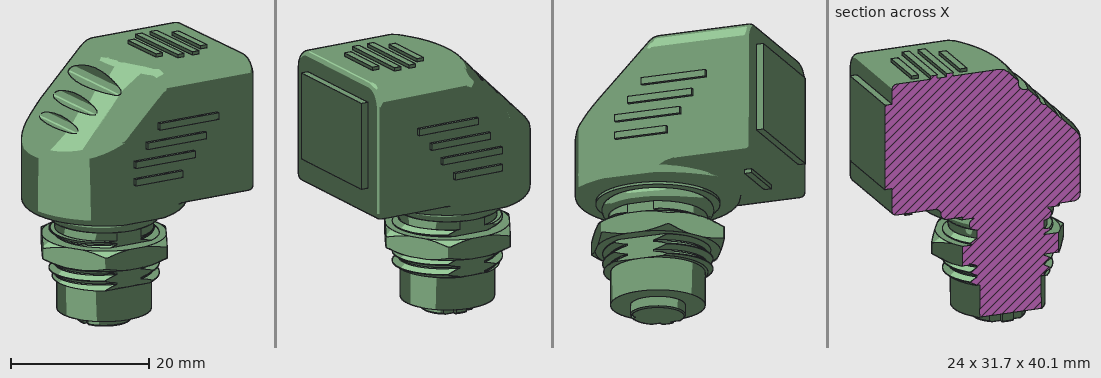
import cadquery as cq
import math


half_width = 11.5
nose_radius = 12.0
back_y = 18.6
top_z = 22.1
underside_z = 1.8
foot_blend_radius = 0.75
top_edge_radius = 3.0
back_edge_radius = 0.73
bottom_edge_radius = 1.0
nose_blend_radius = 2.0

slope_radius = 22.0
slope_crest_z = 21.9
slope_edge_radius = 2.0

grip_corners = [(-1.27, 18.4), (-4.6, 15.6), (-7.4, 13.06)]
grip_corner_radius = 1.0

rib_rise = 0.5
rib_width = 1.1
long_rib = 11.6
short_rib = 7.75
top_ribs = [(14.55, short_rib), (12.0, long_rib), (9.5, long_rib), (7.0, short_rib)]
side_rib_height = 1.0
side_ribs = [(14.4, 2.08, 12.1), (11.8, 0.0, 10.0), (9.25, -2.0, 8.1), (6.6, -2.0, 6.0)]
bottom_rib_y = 15.58
bottom_rib_drop = 0.6

plate_half_width = 8.3
plate_bottom_z = 6.0
plate_top_z = top_z - top_edge_radius
plate_thickness = 1.1

flange_radius = 9.0
flange_bottom_z = -0.4
ring_section_radius = 1.0
ring_bottom_z = -2.3
ring_outer_radius = 8.1
barrel_radius = 6.87
neck_radius = 7.17
neck_bottom_z = -3.55
thread_bottom_z = -10.85
barrel_bottom_z = -15.85

pitch = 1.5
thread_radius = 8.0
thread_crest_half = 0.05
thread_root_half = 0.48 * pitch
thread_sink = 0.1
thread_run_in = 2
thread_turns = 7
thread_crest_z = -9.6

nut_across_flats = 18.0
nut_top_z = -4.45
nut_height = 3.1
nut_corner_radius = 0.65
nut_chamfer_angle = 30.0
nut_face_radius = 9.1

insert_radius = 4.0
insert_bottom_z = -17.5
insert_flat_x = -3.1
insert_key_half_width = 0.85
insert_slot_x = (0.54, 1.5)
insert_slot_depth = 0.7
insert_chamfer = 0.2


def block(x0, x1, y0, y1, z0, z1):
    return cq.Workplane("XY").box(x1 - x0, y1 - y0, z1 - z0, centered=False).translate((x0, y0, z0))


def cylinder(radius, z0, z1):
    return cq.Workplane("XY").workplane(offset=z0).circle(radius).extrude(z1 - z0)


def make_plan(z0, z1):
    """Plan outline of the housing: straight sides closed by a round nose."""
    nose_y = -math.sqrt(nose_radius**2 - half_width**2)
    outline = (
        cq.Workplane("XY")
        .workplane(offset=z0)
        .moveTo(-half_width, back_y)
        .lineTo(-half_width, nose_y)
        .threePointArc((0, -nose_radius), (half_width, nose_y))
        .lineTo(half_width, back_y)
        .close()
    )
    return outline.extrude(z1 - z0).edges("|Z and (not >Y)").fillet(nose_blend_radius)


def make_slope():
    """Cylinder, parallel to the 45 degree slope, that bounds the sloping front face."""
    axis_z = slope_crest_z - slope_radius * math.sqrt(2)
    plane = cq.Plane(origin=(0, 0, axis_z), xDir=(1, 0, 0), normal=(0, 1, 1))
    return cq.Workplane(plane).circle(slope_radius).extrude(4 * slope_radius, both=True)


def make_housing():
    body = make_plan(0, top_z)
    body = body.edges("|Y and >Z").fillet(top_edge_radius)

    step = block(-half_width, half_width, 0, back_y, 0, underside_z)
    body = body.cut(step.cut(cylinder(nose_radius, 0, underside_z)))
    body = body.edges(cq.NearestToPointSelector((0, nose_radius, underside_z))).fillet(foot_blend_radius)
    for side_x in (-half_width, half_width):
        lower_edge = cq.NearestToPointSelector((side_x, back_y - bottom_edge_radius, underside_z))
        body = body.edges("|Y").edges(lower_edge).fillet(bottom_edge_radius)
    body = body.faces("<Z").edges().fillet(bottom_edge_radius)

    body = body.intersect(make_slope())
    slope_face = cq.NearestToPointSelector((0, grip_corners[1][0], slope_crest_z + grip_corners[1][0]))
    body = body.faces(slope_face).edges().fillet(slope_edge_radius)
    return body.faces(">Y").edges().fillet(back_edge_radius)


def cut_grip(body, wall_y, floor_z):
    reach = 2 * nose_radius
    notch = block(-reach, reach, wall_y - reach, wall_y, floor_z, floor_z + reach)
    notch = notch.edges("|X and >Y and <Z").fillet(grip_corner_radius)
    return body.cut(notch)


def make_ribs():
    """Raised ribs on the top, both sides and the underside."""
    half_rib = rib_width / 2
    overlap = rib_rise
    ribs = cq.Workplane("XY")
    for y, length in top_ribs:
        ribs = ribs.add(
            block(-length / 2, length / 2, y - half_rib, y + half_rib, top_z - overlap, top_z + rib_rise)
        )
    for z, y0, y1 in side_ribs:
        z0 = z - side_rib_height / 2
        for inner_x in (-half_width - rib_rise, half_width - overlap):
            ribs = ribs.add(
                block(inner_x, inner_x + overlap + rib_rise, y0, y1, z0, z0 + side_rib_height)
            )
    ribs = ribs.add(
        block(
            -short_rib / 2,
            short_rib / 2,
            bottom_rib_y - half_rib,
            bottom_rib_y + half_rib,
            underside_z - bottom_rib_drop,
            underside_z + overlap,
        )
    )
    return ribs


def make_back_plate():
    return block(
        -plate_half_width, plate_half_width, back_y, back_y + plate_thickness, plate_bottom_z, plate_top_z
    )


def make_thread():
    """One right-handed V ridge, cut off at both ends and at the flats on +X and -X."""
    start_z = thread_crest_z + pitch / 4 - thread_run_in * pitch
    root_radius = neck_radius - thread_sink
    helix = cq.Wire.makeHelix(pitch, thread_turns * pitch, root_radius).translate(cq.Vector(0, 0, start_z))
    profile = (
        cq.Workplane("XZ", origin=(0, 0, start_z))
        .moveTo(root_radius, -thread_root_half)
        .lineTo(thread_radius, -thread_crest_half)
        .lineTo(thread_radius, thread_crest_half)
        .lineTo(root_radius, thread_root_half)
        .close()
    )
    ridge = profile.sweep(cq.Workplane(helix), isFrenet=True)
    limits = block(
        -barrel_radius, barrel_radius, -nose_radius, nose_radius, thread_bottom_z, neck_bottom_z
    )
    return ridge.intersect(limits)


def make_stem():
    flats = block(-barrel_radius, barrel_radius, -nose_radius, nose_radius, thread_bottom_z, 0)
    core = cylinder(neck_radius, thread_bottom_z, 0).intersect(flats)
    core = core.union(make_thread())
    core = core.union(cylinder(barrel_radius, barrel_bottom_z, thread_bottom_z))
    core = core.union(cylinder(flange_radius, flange_bottom_z, 0))
    ring_centre = (ring_outer_radius - ring_section_radius, ring_bottom_z + ring_section_radius)
    ring = cq.Workplane("XZ").center(*ring_centre).circle(ring_section_radius)
    ring = ring.revolve(360, (-ring_centre[0], 0, 0), (-ring_centre[0], 1, 0))
    return core.union(ring)


def make_nut():
    """Hexagon nut with corners towards +Y and -Y and turned ends."""
    corner_radius = nut_across_flats / 2 / math.cos(math.pi / 6)
    bottom_z = nut_top_z - nut_height
    hexagon = cq.Workplane("XY").workplane(offset=bottom_z).polygon(6, 2 * corner_radius).extrude(nut_height)
    hexagon = hexagon.rotate((0, 0, 0), (0, 0, 1), 30).edges("|Z").fillet(nut_corner_radius)
    drop = (corner_radius - nut_face_radius) * math.tan(math.radians(nut_chamfer_angle))
    turned = (
        cq.Workplane("XZ")
        .moveTo(0, bottom_z)
        .lineTo(nut_face_radius, bottom_z)
        .lineTo(corner_radius, bottom_z + drop)
        .lineTo(corner_radius, nut_top_z - drop)
        .lineTo(nut_face_radius, nut_top_z)
        .lineTo(0, nut_top_z)
        .close()
        .revolve()
    )
    return hexagon.intersect(turned)


def make_insert():
    """Contact insert with a flat carrying a key on -X and a slot on -Y."""
    insert = cylinder(insert_radius, insert_bottom_z, barrel_bottom_z)
    insert = insert.faces("<Z").edges().chamfer(insert_chamfer)
    outer = 2 * insert_radius
    for y0, y1 in ((-outer, -insert_key_half_width), (insert_key_half_width, outer)):
        insert = insert.cut(block(-outer, insert_flat_x, y0, y1, insert_bottom_z, barrel_bottom_z))
    x0, x1 = insert_slot_x
    slot = block(x0, x1, -outer, insert_slot_depth - insert_radius, insert_bottom_z, barrel_bottom_z)
    return insert.cut(slot)


housing = make_housing()
for wall_y, floor_z in grip_corners:
    housing = cut_grip(housing, wall_y, floor_z)
result = housing.union(make_back_plate())
for rib in make_ribs().vals():
    result = result.union(cq.Workplane(rib))
for piece in (make_stem(), make_nut(), make_insert()):
    result = result.union(piece)